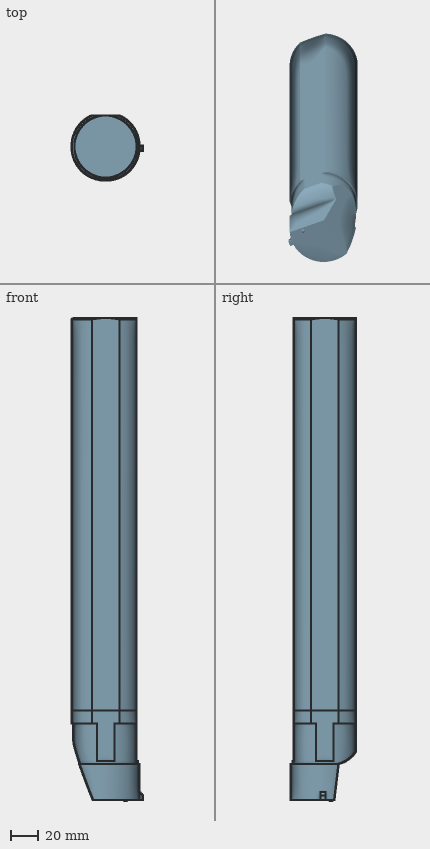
import cadquery as cq

total_length = 355.5
bar_diameter = 50.0
bar_radius = bar_diameter / 2
width_across_flats = 46.0
flat_distance = width_across_flats / 2
joint_z = 67.0
top_chamfer_width = 2.0
top_chamfer_height = 1.0

collar_bottom_z = 57.3
neck_radius = 24.0
neck_flat_bottom_z = 29.5
nose_top_z = 27.5
nose_bottom_z = 0.7

relief_top_z = 46.5
relief_bottom_x = -4.3
relief_turn = 12

gullet_top_y = flat_distance
gullet_top_z = 36.5
gullet_corner_y = 10.3
gullet_bottom_y = 7.0
gullet_middle_fraction = 0.6
gullet_sag_fraction = 0.4

insert_overhang = 2.5
insert_tip_x = bar_radius + insert_overhang
insert_back_x = 19.5
insert_height = 6.0
insert_slope = 2.5
insert_front_y = -3.2
insert_back_y = 0.7

pin_diameter = 3.0
pin_x = 14.5
pin_y = 4.5
pin_top_z = 7.0
pin_tip_roundness = 0.99

span = 4 * bar_radius


def cylinder(radius, bottom_z, top_z):
    return cq.Workplane("XY").workplane(offset=bottom_z).circle(radius).extrude(top_z - bottom_z)


def flat_envelope(bottom_z, top_z):
    """Block bounded by the flats on -Y, +Y and +X; it leaves the -X side round."""
    return cq.Workplane("XY").box(
        span + flat_distance, 2 * flat_distance, top_z - bottom_z, centered=(False, True, False)
    ).translate((-span, 0, bottom_z))


def make_shank():
    inner_radius = bar_radius - top_chamfer_width
    profile = [
        (0, joint_z),
        (bar_radius, joint_z),
        (bar_radius, total_length - top_chamfer_height),
        (inner_radius, total_length),
        (0, total_length),
    ]
    bar = cq.Workplane("XZ").polyline(profile).close().revolve(360, (0, 0), (0, 1))
    return bar.intersect(flat_envelope(joint_z, total_length))


def make_relief():
    """Wedge on the -X side that leaves the slanted relief face."""
    slope = (neck_radius + relief_bottom_x) / (relief_top_z - nose_bottom_z)
    upper_x = relief_bottom_x - slope * (joint_z - nose_bottom_z)
    profile = [
        (-span, nose_bottom_z),
        (relief_bottom_x, nose_bottom_z),
        (upper_x, joint_z),
        (-span, joint_z),
    ]
    wedge = cq.Workplane("XZ").polyline(profile).close().extrude(span, both=True)
    return wedge.rotate((0, 0, 0), (0, 0, 1), -relief_turn)


def make_gullet():
    """Chip space on the +Y side, running along X: a curved run-out above a steep face."""
    drop = gullet_top_z - nose_top_z
    middle_y = gullet_corner_y + gullet_middle_fraction * (gullet_top_y - gullet_corner_y)
    return (
        cq.Workplane("YZ")
        .moveTo(gullet_bottom_y, nose_bottom_z)
        .lineTo(gullet_corner_y, nose_top_z)
        .threePointArc((middle_y, nose_top_z + gullet_sag_fraction * drop), (gullet_top_y, gullet_top_z))
        .lineTo(span, gullet_top_z)
        .lineTo(span, nose_bottom_z)
        .close()
        .extrude(span, both=True)
    )


def make_insert():
    top_z = nose_bottom_z + insert_height
    profile = [
        (insert_back_x, nose_bottom_z),
        (insert_tip_x, nose_bottom_z),
        (insert_tip_x, top_z - insert_slope),
        (insert_tip_x - insert_slope, top_z),
        (insert_back_x, top_z),
    ]
    plate = cq.Workplane("XZ").polyline(profile).close().extrude(insert_back_y - insert_front_y)
    return plate.translate((0, insert_back_y, 0))


def make_pin():
    """Upright pin with a nearly hemispherical lower tip."""
    radius = pin_diameter / 2
    pin = cylinder(radius, 0, pin_top_z).faces("<Z").edges().fillet(pin_tip_roundness * radius)
    return pin.translate((pin_x, pin_y, 0))


def make_head(insert, pin):
    collar = cylinder(bar_radius, collar_bottom_z, joint_z)
    neck = cylinder(neck_radius, neck_flat_bottom_z, collar_bottom_z)
    flatted = collar.union(neck).intersect(flat_envelope(neck_flat_bottom_z, joint_z))
    ring = cylinder(neck_radius, nose_top_z, neck_flat_bottom_z)
    nose = cylinder(bar_radius, nose_bottom_z, nose_top_z)
    head = flatted.union(ring).union(nose)
    return head.cut(make_relief()).cut(make_gullet()).cut(insert).cut(pin)


shank = make_shank()
insert = make_insert()
pin = make_pin()
head = make_head(insert, pin)

result = cq.Compound.makeCompound([shank.val(), *head.vals(), insert.val(), pin.val()])